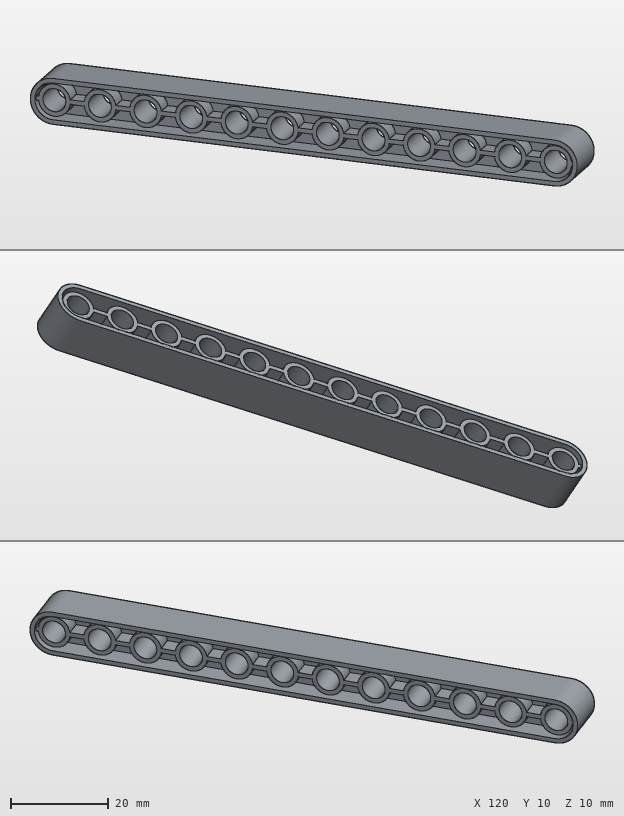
import cadquery as cq

hole_count = 12
pitch = 10.0
beam_height = 10.0
beam_depth = 10.0
hole_diameter = 5.0
boss_diameter = 7.0
rim_thickness = 1.0
rib_thickness = 1.0
web_thickness = 1.0
core_recess = 0.8

center_span = (hole_count - 1) * pitch
pocket_height = beam_height - 2 * rim_thickness
rib_length = center_span + pocket_height
core_depth = beam_depth - 2 * core_recess
hole_centers = [(i * pitch - center_span / 2, 0) for i in range(hole_count)]


def side_sketch(depth):
    """XZ sketch plane from which an extrusion of this depth toward -Y is centred on Y = 0."""
    return cq.Workplane("XZ", origin=(0, depth / 2, 0))


def rounded_bar(height, depth):
    """Bar with full-round ends centred on the outermost holes."""
    return side_sketch(depth).slot2D(center_span + height, height).extrude(depth)


def cylinder_row(diameter, depth):
    """One cylinder along Y at each hole centre."""
    return side_sketch(depth).pushPoints(hole_centers).circle(diameter / 2).extrude(depth)


def rim():
    """Outer wall: an open rounded frame over the full depth."""
    return rounded_bar(beam_height, beam_depth).cut(rounded_bar(pocket_height, beam_depth))


def web():
    """Thin wall at mid-depth that closes the frame between the two side pockets."""
    return rounded_bar(pocket_height, web_thickness)


def core():
    """Bosses around the holes, joined to each other and to the rim by a straight rib."""
    rib = side_sketch(core_depth).rect(rib_length, rib_thickness).extrude(core_depth)
    pocket_space = rounded_bar(pocket_height, core_depth)
    return cylinder_row(boss_diameter, core_depth).union(rib).intersect(pocket_space)


beam = rim().union(web()).union(core())
result = beam.cut(cylinder_row(hole_diameter, beam_depth))